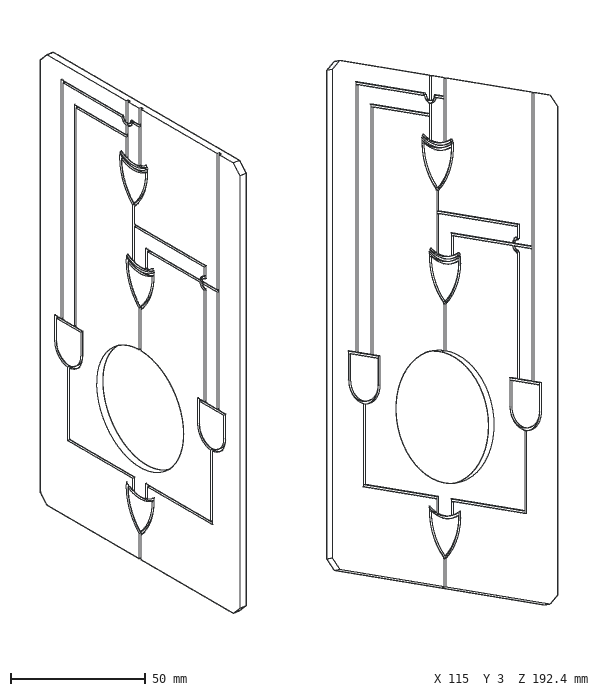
import cadquery as cq
import math

plate_width = 115.0
plate_thickness = 3.0
plate_height = 192.4
corner_chamfer = 3.8
hole_diameter = 50.0
hole_z = -32.0

groove_width = 1.0
groove_depth = 1.0
half_groove = groove_width / 2

pitch = 7.5
half_pitch = pitch / 2
gate_half_width = pitch
hop_radius = 2.5

or_body_length = 15.4
or_back_sag = 2.3
or_side_bulge = 2.1
xor_bar_gap = 2.0
and_straight_length = 10.5

first_xor_x = -half_pitch
first_xor_tip_z = 53.5
second_xor_tip_z = 11.0
or_tip_z = -85.2
and_x = 41.2
and_top_z = -13.5

top_edge = plate_height / 2
input_a_z = top_edge - pitch
input_b_z = input_a_z - pitch
sum_branch_z = 45.0
carry_branch_z = sum_branch_z - pitch
collector_z = -62.9

front_plane = cq.Plane(origin=(0, -plate_thickness / 2, 0), xDir=(1, 0, 0), normal=(0, -1, 0))


def face_sketch():
    return cq.Workplane(front_plane)


def straight_groove(*points):
    """Groove along axis-parallel segments, with square corners."""
    groove = None
    for (x1, z1), (x2, z2) in zip(points, points[1:]):
        length_x = max(abs(x2 - x1), groove_width)
        length_z = max(abs(z2 - z1), groove_width)
        middle = ((x1 + x2) / 2, (z1 + z2) / 2)
        segment = face_sketch().center(*middle).rect(length_x, length_z).extrude(-groove_depth)
        groove = segment if groove is None else groove.union(segment)
    corners = points[1:-1]
    if corners:
        squares = face_sketch().pushPoints(corners).rect(groove_width, groove_width)
        groove = groove.union(squares.extrude(-groove_depth))
    return groove


def arc_groove(center, radius, middle_angle, half_angle):
    """Groove along an arc; angles are in degrees, measured from +X toward +Z."""

    def point(r, angle):
        a = math.radians(angle)
        return (center[0] + r * math.cos(a), center[1] + r * math.sin(a))

    inner = radius - half_groove
    outer = radius + half_groove
    start = middle_angle - half_angle
    end = middle_angle + half_angle
    return (
        face_sketch()
        .moveTo(*point(inner, start))
        .threePointArc(point(inner, middle_angle), point(inner, end))
        .lineTo(*point(outer, end))
        .threePointArc(point(outer, middle_angle), point(outer, start))
        .close()
        .extrude(-groove_depth)
    )


def arc_radius(chord, sagitta):
    return chord**2 / (8 * sagitta) + sagitta / 2


horn_height = or_body_length + or_back_sag
back_radius = arc_radius(2 * gate_half_width, or_back_sag)
back_center = (0, or_body_length + back_radius)
side_chord = math.hypot(gate_half_width, horn_height)
side_radius = arc_radius(side_chord, or_side_bulge)
side_setback = (side_radius - or_side_bulge) / side_chord
side_center = (
    gate_half_width / 2 - side_setback * horn_height,
    horn_height / 2 + side_setback * gate_half_width,
)


def upper_horn(side_r, back_r):
    """Right-hand crossing of the +X side circle and the back circle."""
    dx = back_center[0] - side_center[0]
    dz = back_center[1] - side_center[1]
    distance = math.hypot(dx, dz)
    along = (distance**2 + side_r**2 - back_r**2) / (2 * distance)
    across = math.sqrt(side_r**2 - along**2)
    return (
        side_center[0] + (along * dx + across * dz) / distance,
        side_center[1] + (along * dz - across * dx) / distance,
    )


def shield(x, tip_z, offset):
    """Solid OR outline grown outward by the offset, with sharp corners."""
    side_r = side_radius + offset
    back_r = back_radius - offset
    horn_x, horn_z = upper_horn(side_r, back_r)
    tip = side_center[1] - math.sqrt(side_r**2 - side_center[0] ** 2)
    horn_angle = math.atan2(horn_z - side_center[1], horn_x - side_center[0])
    tip_angle = math.atan2(tip - side_center[1], -side_center[0])
    middle_angle = (horn_angle + tip_angle) / 2
    bulge_x = side_center[0] + side_r * math.cos(middle_angle)
    bulge_z = side_center[1] + side_r * math.sin(middle_angle)
    return (
        face_sketch()
        .center(x, tip_z)
        .moveTo(-horn_x, horn_z)
        .threePointArc((0, back_center[1] - back_r), (horn_x, horn_z))
        .threePointArc((bulge_x, bulge_z), (0, tip))
        .threePointArc((-bulge_x, bulge_z), (-horn_x, horn_z))
        .close()
        .extrude(-groove_depth)
    )


def or_gate(x, tip_z):
    return shield(x, tip_z, half_groove).cut(shield(x, tip_z, -half_groove))


or_input_height = back_center[1] - math.sqrt(back_radius**2 - half_pitch**2)
xor_input_height = or_input_height + xor_bar_gap


def xor_gate(x, tip_z):
    """OR gate with a second bar along its hollow back."""
    bar_center = (x, tip_z + back_center[1] + xor_bar_gap)
    bar_half_angle = math.degrees(math.asin(gate_half_width / back_radius))
    bar = arc_groove(bar_center, back_radius, -90, bar_half_angle)
    return or_gate(x, tip_z).union(bar)


def rounded_block(x, offset):
    """Solid AND outline grown outward by the offset."""
    half_width = gate_half_width + offset
    round_z = and_top_z - and_straight_length
    return (
        face_sketch()
        .moveTo(x - half_width, and_top_z + offset)
        .lineTo(x + half_width, and_top_z + offset)
        .lineTo(x + half_width, round_z)
        .threePointArc((x, round_z - half_width), (x - half_width, round_z))
        .close()
        .extrude(-groove_depth)
    )


def and_gate(x):
    """Flat input side on top and a half-round output side below."""
    return rounded_block(x, half_groove).cut(rounded_block(x, -half_groove))


input_b_x = first_xor_x - half_pitch
input_a_x = first_xor_x + half_pitch
carry_in_x = and_x + half_pitch
sum_x = and_x - half_pitch
left_outer_x = -and_x - half_pitch
left_inner_x = -and_x + half_pitch
and_bottom_z = and_top_z - and_straight_length - gate_half_width
first_xor_input_z = first_xor_tip_z + xor_input_height
second_xor_input_z = second_xor_tip_z + xor_input_height
or_input_z = or_tip_z + or_input_height

grooves = [
    xor_gate(first_xor_x, first_xor_tip_z),
    xor_gate(0, second_xor_tip_z),
    or_gate(0, or_tip_z),
    and_gate(-and_x),
    and_gate(and_x),
    straight_groove((input_b_x, top_edge), (input_b_x, first_xor_input_z)),
    straight_groove((input_a_x, top_edge), (input_a_x, first_xor_input_z)),
    straight_groove((carry_in_x, top_edge), (carry_in_x, and_top_z)),
    straight_groove((input_a_x, input_a_z), (input_b_x + hop_radius, input_a_z)),
    arc_groove((input_b_x, input_a_z), hop_radius, -90, 90),
    straight_groove(
        (input_b_x - hop_radius, input_a_z), (left_outer_x, input_a_z), (left_outer_x, and_top_z)
    ),
    straight_groove((input_b_x, input_b_z), (left_inner_x, input_b_z), (left_inner_x, and_top_z)),
    straight_groove((first_xor_x, first_xor_tip_z), (first_xor_x, second_xor_input_z)),
    straight_groove(
        (first_xor_x, sum_branch_z), (sum_x, sum_branch_z), (sum_x, carry_branch_z + hop_radius)
    ),
    arc_groove((sum_x, carry_branch_z), hop_radius, 180, 90),
    straight_groove((sum_x, carry_branch_z - hop_radius), (sum_x, and_top_z)),
    straight_groove(
        (carry_in_x, carry_branch_z), (half_pitch, carry_branch_z), (half_pitch, second_xor_input_z)
    ),
    straight_groove((0, second_xor_tip_z), (0, hole_z)),
    straight_groove((0, or_tip_z), (0, -top_edge)),
]

for side in (-1, 1):
    grooves.append(
        straight_groove(
            (side * and_x, and_bottom_z),
            (side * and_x, collector_z),
            (side * half_pitch, collector_z),
            (side * half_pitch, or_input_z),
        )
    )

plate = cq.Workplane("XY").box(plate_width, plate_thickness, plate_height)
plate = plate.edges("|Y").chamfer(corner_chamfer)

result = plate
for groove in grooves:
    result = result.cut(groove)

round_hole = face_sketch().center(0, hole_z).circle(hole_diameter / 2).extrude(-plate_thickness)
result = result.cut(round_hole)